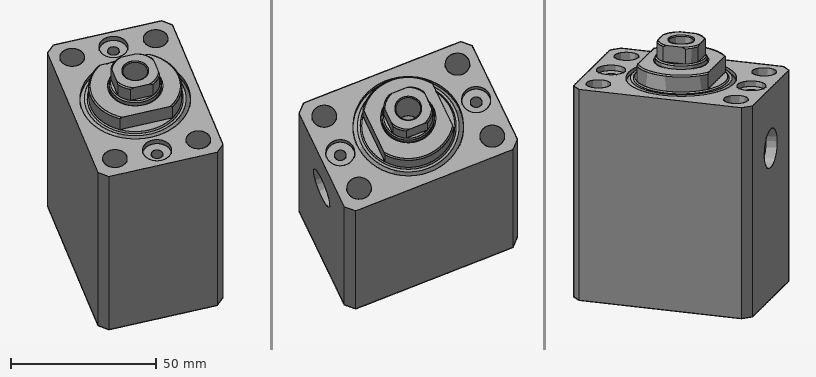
import cadquery as cq
import math

block_length = 65.0
block_width = 45.0
block_height = 77.0
corner_chamfer = 3.0
floor_thickness = 10.0

mount_hole_diameter = 8.5
mount_spacing_x = 50.0
mount_spacing_y = 30.0

oil_hole_diameter = 4.0
top_port_offset = 25.5
top_recess_diameter = 10.0
top_recess_depth = 2.0
top_oil_hole_depth = 10.0
side_recess_diameter = 14.0
side_recess_depth = 4.0
side_port_drop = 22.0

edge_chamfer = 0.5

gland_radius = 19.0
gland_depth = 15.0
gland_rim_chamfer = 1.5
collar_radius = 16.0
collar_height = 6.5
collar_flat_width = 25.75

total_height = 91.0
rod_radius = 9.0
rod_shoulder_height = 85.0
head_flat_width = 15.0
rod_hole_radius = 4.3
rod_hole_depth = 14.6
rod_hole_chamfer = 0.4
countersink_angle = 90.0
drill_tip_angle = 118.0

gland_bottom = block_height - gland_depth
collar_top = block_height + collar_height
head_radius = rod_radius - edge_chamfer
drill_tip_length = rod_hole_radius / math.tan(math.radians(drill_tip_angle / 2))


def disc(radius, bottom, height):
    """Upright cylinder on the Z axis."""
    return cq.Workplane("XY").workplane(offset=bottom).circle(radius).extrude(height)


def top_port(x):
    """Cutter for one oil port in the top face, at the given X."""
    top_plane = cq.Workplane("XY", origin=(x, 0, block_height))
    recess = top_plane.circle(top_recess_diameter / 2).extrude(-top_recess_depth)
    oil_hole = top_plane.circle(oil_hole_diameter / 2).extrude(-top_recess_depth - top_oil_hole_depth)
    return recess.union(oil_hole)


def side_port():
    """Cutter for the oil port in the -X face; its oil hole runs in to the rod axis."""
    face_x = block_length / 2
    side_plane = cq.Workplane("YZ", origin=(-face_x, 0, block_height - side_port_drop))
    recess = side_plane.circle(side_recess_diameter / 2).extrude(side_recess_depth)
    oil_hole = side_plane.circle(oil_hole_diameter / 2).extrude(face_x)
    return recess.union(oil_hole)


def make_housing():
    """Block with mounting holes, oil ports, gland recess and blind rod bore."""
    block = cq.Workplane("XY").box(block_length, block_width, block_height, centered=(True, True, False))
    block = block.edges("|Z").chamfer(corner_chamfer)
    block = (
        block.faces(">Z").workplane(origin=(0, 0, block_height))
        .rarray(mount_spacing_x, mount_spacing_y, 2, 2)
        .hole(mount_hole_diameter)
    )
    block = block.cut(disc(gland_radius, gland_bottom, gland_depth))
    block = block.cut(disc(rod_radius, floor_thickness, block_height - floor_thickness))
    for x in (-top_port_offset, top_port_offset):
        block = block.cut(top_port(x))
    return block.cut(side_port())


def make_gland_nut():
    """Sunken disc with a raised collar, revolved as one profile, then cut to two wrench flats."""
    foot_top = block_height + edge_chamfer
    profile = [
        (rod_radius, gland_bottom),
        (gland_radius, gland_bottom),
        (gland_radius, block_height - gland_rim_chamfer),
        (gland_radius - gland_rim_chamfer, block_height),
        (collar_radius + edge_chamfer, block_height),
        (collar_radius, foot_top),
        (collar_radius, collar_top - edge_chamfer),
        (collar_radius - edge_chamfer, collar_top),
        (rod_radius + edge_chamfer, collar_top),
        (rod_radius, collar_top - edge_chamfer),
    ]
    nut = cq.Workplane("XZ").polyline(profile).close().revolve(360, (0, 0), (0, 1))
    for side in (-1, 1):
        flat_centre = side * (collar_flat_width + collar_radius) / 2
        beside_flat = cq.Workplane("XY", origin=(flat_centre, 0, foot_top)).box(
            collar_radius, 2 * collar_radius, collar_height, centered=(True, True, False)
        )
        nut = nut.cut(beside_flat)
    return nut


def make_rod():
    """Round rod with a chamfered shoulder, a square head and a drilled hole in its top."""
    shaft = disc(rod_radius, floor_thickness, rod_shoulder_height - floor_thickness)
    shaft = shaft.faces(">Z").chamfer(edge_chamfer)
    head = disc(head_radius, rod_shoulder_height, total_height - rod_shoulder_height)
    head = head.faces(">Z").chamfer(edge_chamfer)
    square = cq.Workplane("XY").box(
        head_flat_width, head_flat_width, total_height, centered=(True, True, False)
    )
    rod = shaft.union(head.intersect(square))
    rod = rod.faces(">Z").workplane(origin=(0, 0, total_height)).cskHole(
        2 * rod_hole_radius, 2 * (rod_hole_radius + rod_hole_chamfer), countersink_angle, rod_hole_depth
    )
    drill_tip = cq.Solid.makeCone(
        rod_hole_radius, 0, drill_tip_length, pnt=(0, 0, total_height - rod_hole_depth), dir=(0, 0, -1)
    )
    return rod.cut(cq.Workplane(drill_tip))


housing = make_housing()
gland_nut = make_gland_nut()
rod = make_rod()

bodies = [housing, gland_nut, rod]
result = cq.Compound.makeCompound([body.solids().val() for body in bodies])